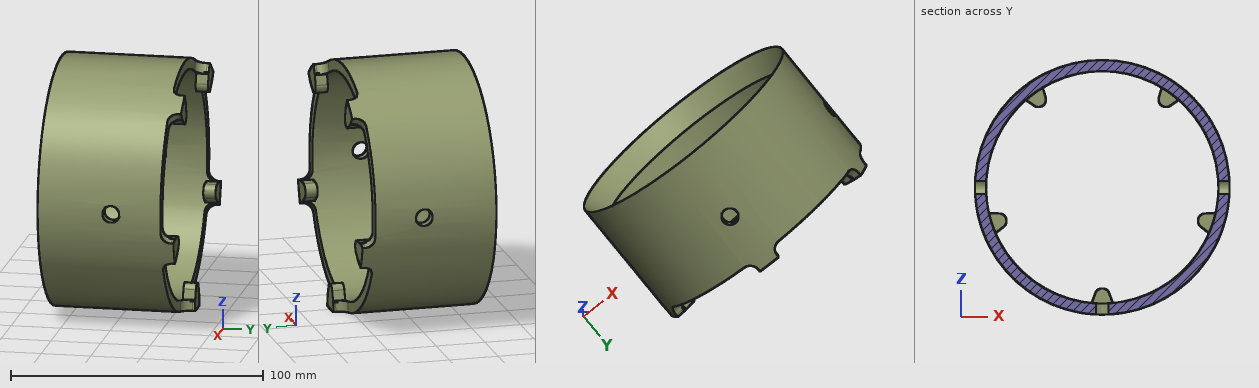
import cadquery as cq
import math

OUTER_RADIUS = 101 / 2
BORE_RADIUS = 92 / 2
STRAIGHT_BORE_LENGTH = 40.0
TAPER_ANGLE = 25.0
TAPER_LENGTH = (OUTER_RADIUS - BORE_RADIUS) / math.tan(math.radians(TAPER_ANGLE))
RING_LENGTH = TAPER_LENGTH + STRAIGHT_BORE_LENGTH

HOLE_DIAMETER = 6.78
HOLE_Y = TAPER_LENGTH + STRAIGHT_BORE_LENGTH / 2
HOLE_ANGLES = (0, 180, 270)

TAB_COUNT = 5
TAB_PITCH = 360 / TAB_COUNT
FIRST_TAB_ANGLE = -90
TAB_HEIGHT = 5.0
TOTAL_LENGTH = RING_LENGTH + TAB_HEIGHT
STEM_HALF_ANGLE = 5.4
STEM_FILLET = 4.0
LUG_TIP_RADIUS = 40.0
LUG_NOSE_RADIUS = 3.0
LUG_SIDE_ANGLE = 20.0
LUG_OVERLAP = 0.5

EDGE_MARGIN = 0.1
HOLE_OVERRUN = 1.0


def make_ring():
    """Full-length tube with a conical mouth; the tab zone is still a closed collar."""
    profile = [
        (OUTER_RADIUS, 0),
        (OUTER_RADIUS, TOTAL_LENGTH),
        (BORE_RADIUS, TOTAL_LENGTH),
        (BORE_RADIUS, TAPER_LENGTH),
    ]
    return cq.Workplane("XY").polyline(profile).close().revolve(360, (0, 0, 0), (0, 1, 0))


def make_gap():
    """Sector that clears the collar between the tab at angle 0 and the next one."""
    start = math.radians(STEM_HALF_ANGLE)
    end = math.radians(TAB_PITCH - STEM_HALF_ANGLE)
    reach = 2 * OUTER_RADIUS
    return (
        cq.Workplane("XZ", origin=(0, RING_LENGTH, 0))
        .lineTo(reach * math.cos(start), reach * math.sin(start))
        .lineTo(reach * math.cos(end), reach * math.sin(end))
        .close()
        .extrude(-TAB_HEIGHT)
    )


def fillet_stems(body):
    """Round the radial edges where the stem flanks meet the ring end."""
    low_corner = (-OUTER_RADIUS, RING_LENGTH - EDGE_MARGIN, -OUTER_RADIUS)
    high_corner = (OUTER_RADIUS, RING_LENGTH + EDGE_MARGIN, OUTER_RADIUS)
    end_faces = body.faces(cq.selectors.BoxSelector(low_corner, high_corner))
    return end_faces.edges("%LINE").fillet(STEM_FILLET)


def make_lug():
    """Wedge at angle 0 that narrows toward the ring axis and ends in a round nose."""
    side = math.radians(LUG_SIDE_ANGLE)
    nose_x = LUG_TIP_RADIUS + LUG_NOSE_RADIUS
    tangent_x = nose_x - LUG_NOSE_RADIUS * math.sin(side)
    tangent_z = LUG_NOSE_RADIUS * math.cos(side)
    root_x = BORE_RADIUS + LUG_OVERLAP
    root_z = tangent_z + (root_x - tangent_x) * math.tan(side)
    return (
        cq.Workplane("XZ", origin=(0, RING_LENGTH, 0))
        .moveTo(root_x, -root_z)
        .lineTo(tangent_x, -tangent_z)
        .threePointArc((LUG_TIP_RADIUS, 0), (tangent_x, tangent_z))
        .lineTo(root_x, root_z)
        .close()
        .extrude(-TAB_HEIGHT)
    )


def turn(body, angle):
    """Turn a body from +X toward +Z about the ring axis."""
    return body.rotate((0, 0, 0), (0, 1, 0), -angle)


def make_hole():
    """Cylinder from the ring axis out through the wall on the +X side."""
    return (
        cq.Workplane("YZ")
        .center(HOLE_Y, 0)
        .circle(HOLE_DIAMETER / 2)
        .extrude(OUTER_RADIUS + HOLE_OVERRUN)
    )


tab_angles = [FIRST_TAB_ANGLE + index * TAB_PITCH for index in range(TAB_COUNT)]

result = make_ring()
for tab_angle in tab_angles:
    result = result.cut(turn(make_gap(), tab_angle))
result = fillet_stems(result)
for tab_angle in tab_angles:
    result = result.union(turn(make_lug(), tab_angle))
for hole_angle in HOLE_ANGLES:
    result = result.cut(turn(make_hole(), hole_angle))